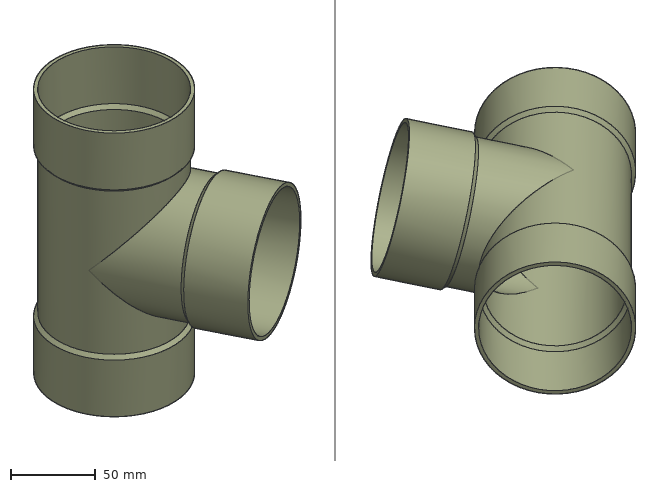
import cadquery as cq

run_length = 200.0
branch_reach = 100.0
bore_diameter = 85.0
pipe_diameter = 90.0
socket_diameter = 95.0
socket_depth = 40.0

wall = (pipe_diameter - bore_diameter) / 2
socket_bore_diameter = socket_diameter - 2 * wall
shoulder_length = wall


def revolve_about_z(profile):
    """Revolve a closed profile of the XZ plane about the Z axis."""
    return profile.close().revolve(360, (0, 0, 0), (0, 1, 0))


def run_body(narrow_diameter, wide_diameter):
    """Vertical cylinder that widens through a taper into a socket at each end."""
    end = run_length / 2
    socket_start = end - socket_depth
    shoulder_start = socket_start - shoulder_length
    profile = (
        cq.Workplane("XZ")
        .moveTo(0, -end)
        .lineTo(wide_diameter / 2, -end)
        .lineTo(wide_diameter / 2, -socket_start)
        .lineTo(narrow_diameter / 2, -shoulder_start)
        .lineTo(narrow_diameter / 2, shoulder_start)
        .lineTo(wide_diameter / 2, socket_start)
        .lineTo(wide_diameter / 2, end)
        .lineTo(0, end)
    )
    return revolve_about_z(profile)


def branch_body(narrow_diameter, wide_diameter):
    """Cylinder from the run axis along +X that widens into a socket at its mouth."""
    socket_start = branch_reach - socket_depth
    shoulder_start = socket_start - shoulder_length
    profile = (
        cq.Workplane("XZ")
        .lineTo(narrow_diameter / 2, 0)
        .lineTo(narrow_diameter / 2, shoulder_start)
        .lineTo(wide_diameter / 2, socket_start)
        .lineTo(wide_diameter / 2, branch_reach)
        .lineTo(0, branch_reach)
    )
    return revolve_about_z(profile).rotate((0, 0, 0), (0, 1, 0), 90)


def tee(narrow_diameter, wide_diameter):
    """Solid tee of the run and its branch."""
    run = run_body(narrow_diameter, wide_diameter)
    return run.union(branch_body(narrow_diameter, wide_diameter))


outside = tee(pipe_diameter, socket_diameter)
inside = tee(bore_diameter, socket_bore_diameter)
result = outside.cut(inside)